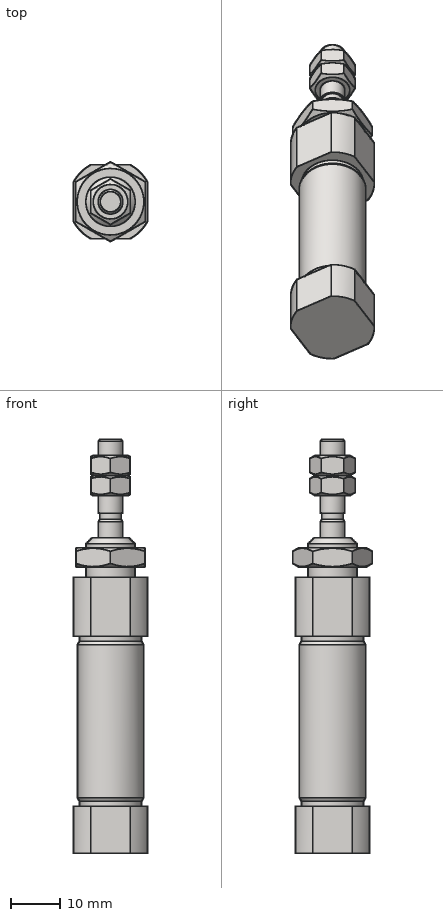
import cadquery as cq
import math

total_height = 84.0
rear_cap_height = 9.6
front_cap_bottom = 44.0
front_cap_top = 56.0
mount_nut_bottom = 58.0
mount_nut_height = 4.0
boss_top = 64.0
neck_length = 0.95
boss_chamfer = 1.25

cap_flat_width = 15.0
cap_corner_diameter = 17.0
tube_diameter = 13.5
neck_diameter = 12.6
boss_diameter = 10.0
mount_nut_flats = 14.0
mount_nut_face_diameter = 13.5

rod_diameter = 5.0
rod_tip_diameter = 4.13
groove_diameter = 4.4
groove_top = 69.0
groove_length = 1.3
rod_nut_flats = 8.0
rod_nut_face_diameter = 7.0
rod_nut_height = 4.1
rod_nut_count = 2
rod_nuts_bottom = 72.5

taper_angle = math.radians(30)


def disc(diameter, bottom, top):
    return cq.Workplane("XY").workplane(offset=bottom).circle(diameter / 2).extrude(top - bottom)


def revolve_profile(points):
    """Turn a closed (radius, height) outline about the Z axis."""
    return cq.Workplane("XZ").polyline(points).close().revolve(360, (0, 0), (0, 1))


def hex_nut(flats, face_diameter, bottom, height):
    """Hexagonal nut with corners on the Y axis and conical chamfers on both end faces."""
    corner_radius = flats / 2 / math.cos(math.radians(30))
    face_radius = face_diameter / 2
    chamfer_drop = (corner_radius - face_radius) * math.tan(taper_angle)
    top = bottom + height
    prism = (
        cq.Workplane("XY").workplane(offset=bottom)
        .transformed(rotate=(0, 0, 90))
        .polygon(6, 2 * corner_radius)
        .extrude(height)
    )
    chamfer_envelope = revolve_profile([
        (0, bottom),
        (face_radius, bottom),
        (corner_radius, bottom + chamfer_drop),
        (corner_radius, top - chamfer_drop),
        (face_radius, top),
        (0, top),
    ])
    return prism.intersect(chamfer_envelope)


def cap(bottom, top):
    """Square end cap whose corners are rounded by a concentric cylinder."""
    height = top - bottom
    block = (
        cq.Workplane("XY").workplane(offset=bottom)
        .rect(cap_flat_width, cap_flat_width)
        .extrude(height)
    )
    return block.intersect(disc(cap_corner_diameter, bottom, top))


def tube():
    """Tube barrel that tapers at each end to the neck beside its cap."""
    tube_radius = tube_diameter / 2
    neck_radius = neck_diameter / 2
    taper_length = (tube_radius - neck_radius) / math.tan(taper_angle)
    lower_neck_top = rear_cap_height + neck_length
    upper_neck_bottom = front_cap_bottom - neck_length
    return revolve_profile([
        (0, rear_cap_height),
        (neck_radius, rear_cap_height),
        (neck_radius, lower_neck_top),
        (tube_radius, lower_neck_top + taper_length),
        (tube_radius, upper_neck_bottom - taper_length),
        (neck_radius, upper_neck_bottom),
        (neck_radius, front_cap_bottom),
        (0, front_cap_bottom),
    ])


def make_housing():
    """Caps, tube, mounting boss and mounting nut as one solid."""
    boss = disc(boss_diameter, front_cap_top, boss_top).faces(">Z").chamfer(boss_chamfer)
    mount_nut = hex_nut(mount_nut_flats, mount_nut_face_diameter, mount_nut_bottom, mount_nut_height)
    return (
        cap(0, rear_cap_height)
        .union(tube())
        .union(cap(front_cap_bottom, front_cap_top))
        .union(boss)
        .union(mount_nut)
    )


def make_rod():
    """Piston rod with its groove, tip chamfer and lock nuts, standing on the boss."""
    rod_radius = rod_diameter / 2
    groove_radius = groove_diameter / 2
    tip_radius = rod_tip_diameter / 2
    groove_bottom = groove_top - groove_length
    groove_taper = (rod_radius - groove_radius) / math.tan(taper_angle)
    rod = revolve_profile([
        (0, boss_top),
        (rod_radius, boss_top),
        (rod_radius, groove_bottom - groove_taper),
        (groove_radius, groove_bottom),
        (groove_radius, groove_top),
        (rod_radius, groove_top),
        (rod_radius, total_height - (rod_radius - tip_radius)),
        (tip_radius, total_height),
        (0, total_height),
    ])
    for index in range(rod_nut_count):
        nut_bottom = rod_nuts_bottom + index * rod_nut_height
        rod = rod.union(hex_nut(rod_nut_flats, rod_nut_face_diameter, nut_bottom, rod_nut_height))
    return rod


housing = make_housing()
rod = make_rod()

result = cq.Compound.makeCompound([housing.val(), rod.val()])